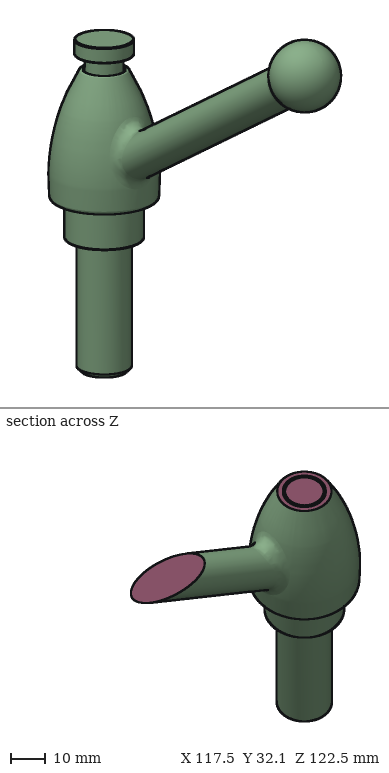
import cadquery as cq
import math

stud_diameter = 16.0
stud_length = 40.0
stud_chamfer = 1.5
collar_diameter = 23.0
collar_height = 12.0
collar_chamfer = 0.4
body_height = 39.0
body_base_radius = 15.75
body_mid_radius = 12.85
body_mid_height = 26.4
body_top_radius = 7.1
body_edge_radius = 1.2
body_rim_radius = 0.6

neck_diameter = 11.2
neck_height = 4.5
neck_gap_diameter = 12.2
neck_gap_depth = 3.0
button_diameter = 17.2
button_height = 4.75
button_chamfer = 0.3

arm_diameter = 13.0
arm_angle = 30.0
ball_radius = 10.5
ball_center_x = 90.93
ball_center_z = 112.0
ball_fillet_radius = 4.0
arm_root_fillet = 4.0

collar_top = stud_length + collar_height
body_top = collar_top + body_height
gap_floor = body_top - neck_gap_depth
button_bottom = body_top + neck_height

arm_radius = arm_diameter / 2


def disc(diameter, bottom, height):
    """Cylinder about Z standing on the given level."""
    return cq.Workplane("XY").workplane(offset=bottom).circle(diameter / 2).extrude(height)


def make_stud():
    return disc(stud_diameter, 0, collar_top).faces("<Z").edges().chamfer(stud_chamfer)


def make_collar():
    collar = disc(collar_diameter, stud_length, collar_height)
    return collar.faces("<Z").edges().chamfer(collar_chamfer)


def make_body():
    """Barrel-shaped body with rounded edges and a recess for the neck.

    The seam of the turned surface faces away from the arm.
    """
    body = (
        cq.Workplane("XZ")
        .moveTo(0, collar_top)
        .lineTo(body_base_radius, collar_top)
        .threePointArc((body_mid_radius, collar_top + body_mid_height), (body_top_radius, body_top))
        .lineTo(0, body_top)
        .close()
        .revolve(360, (0, 0), (0, 1))
        .rotate((0, 0, 0), (0, 0, 1), 180)
    )
    body = body.faces("<Z").edges().fillet(body_edge_radius)
    body = body.faces(">Z").edges().fillet(body_rim_radius)
    return body.cut(disc(neck_gap_diameter, gap_floor, neck_gap_depth))


def make_button():
    """Neck standing clear of the body in its recess, with the button on top."""
    neck = disc(neck_diameter, gap_floor, button_bottom - gap_floor)
    button = disc(button_diameter, button_bottom, button_height)
    return neck.union(button.faces("<Z or >Z").edges().chamfer(button_chamfer))


def make_lever():
    """Arm and ball turned about the arm axis, with a concave blend between them."""
    arm_length = ball_center_x / math.cos(math.radians(arm_angle))

    center_distance = ball_radius + ball_fillet_radius
    blend_center_radius = arm_radius + ball_fillet_radius
    blend_offset = math.sqrt(center_distance**2 - blend_center_radius**2)
    ball_share = ball_radius / center_distance
    blend_center_x = arm_length - blend_offset
    ball_touch = (arm_length - blend_offset * ball_share, blend_center_radius * ball_share)
    blend_mid_angle = (math.atan2(-blend_center_radius, blend_offset) - math.pi / 2) / 2
    blend_mid = (
        blend_center_x + ball_fillet_radius * math.cos(blend_mid_angle),
        blend_center_radius + ball_fillet_radius * math.sin(blend_mid_angle),
    )

    return (
        cq.Workplane("XZ")
        .lineTo(0, arm_radius)
        .lineTo(blend_center_x, arm_radius)
        .threePointArc(blend_mid, ball_touch)
        .threePointArc((arm_length, ball_radius), (arm_length + ball_radius, 0))
        .close()
        .revolve(360, (0, 0), (1, 0))
        .rotate((0, 0, 0), (0, 1, 0), -arm_angle)
        .translate((0, 0, ball_center_z - arm_length * math.sin(math.radians(arm_angle))))
    )


def join_lever(body, lever):
    """Unite body and lever and round the edge where the arm leaves the body."""
    joined = body.union(lever)
    edge_clearance = 1.0
    root_zone = cq.selectors.BoxSelector(
        (arm_radius, -body_base_radius, collar_top + body_edge_radius + edge_clearance),
        (body_base_radius + arm_radius, body_base_radius, body_top - edge_clearance),
    )
    return joined.edges(root_zone).fillet(arm_root_fillet)


handle = join_lever(make_body(), make_lever())
result = handle.union(make_collar()).union(make_stud()).union(make_button())